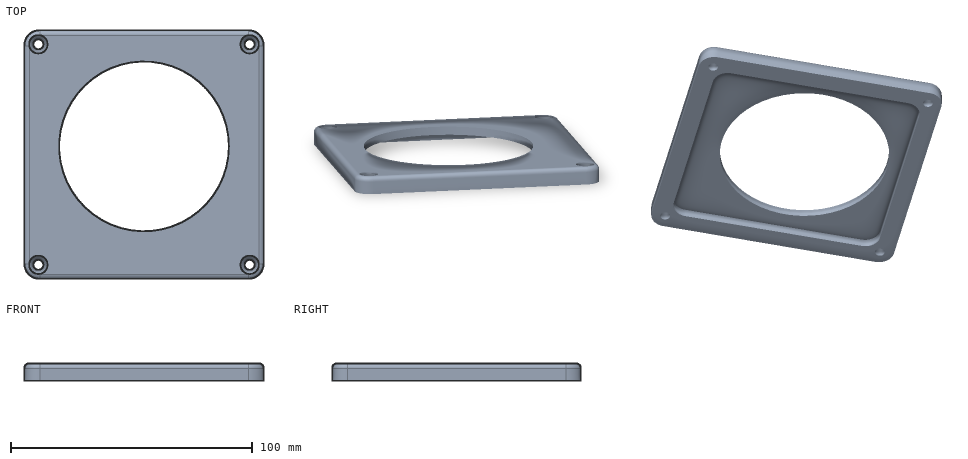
import cadquery as cq
import math

LENGTH_X = 99.06
LENGTH_Y = 102.87
HEIGHT = 7.24
CORNER_RADIUS = 6.35
TOP_EDGE_RADIUS = 2.03

PANEL_THICKNESS = 3.43
RIM_WIDTH = 7.62
RECESS_CORNER_RADIUS = CORNER_RADIUS

WINDOW_DIAMETER = 70.1
WINDOW_OFFSET_Y = 3.38

SCREW_DIAMETER = 4.06
COUNTERSINK_DIAMETER = 7.62
COUNTERSINK_ANGLE = 82
COUNTERSINK_LAND = 0.76
SCREW_INSET = 5.84


def rounded_plate():
    plate = cq.Workplane("XY").rect(LENGTH_X, LENGTH_Y).extrude(HEIGHT)
    plate = plate.edges("|Z").fillet(CORNER_RADIUS)
    return plate.faces(">Z").edges().fillet(TOP_EDGE_RADIUS)


def cut_underside_recess(plate):
    recess = (
        cq.Workplane("XY")
        .rect(LENGTH_X - 2 * RIM_WIDTH, LENGTH_Y - 2 * RIM_WIDTH)
        .extrude(HEIGHT - PANEL_THICKNESS)
        .edges("|Z").fillet(RECESS_CORNER_RADIUS)
    )
    return plate.cut(recess)


def cut_window(plate):
    window = (
        cq.Workplane("XY")
        .center(0, WINDOW_OFFSET_Y)
        .circle(WINDOW_DIAMETER / 2)
        .extrude(HEIGHT)
    )
    return plate.cut(window)


def countersunk_screw_cutter():
    screw_radius = SCREW_DIAMETER / 2
    head_radius = COUNTERSINK_DIAMETER / 2
    cone_top = HEIGHT - COUNTERSINK_LAND
    cone_height = (head_radius - screw_radius) / math.tan(math.radians(COUNTERSINK_ANGLE / 2))
    half_profile = [
        (0, 0),
        (screw_radius, 0),
        (screw_radius, cone_top - cone_height),
        (head_radius, cone_top),
        (head_radius, HEIGHT),
        (0, HEIGHT),
    ]
    return cq.Workplane("XZ").polyline(half_profile).close().revolve(360, (0, 0), (0, 1))


def cut_screw_holes(plate):
    cutter = countersunk_screw_cutter()
    screw_x = LENGTH_X / 2 - SCREW_INSET
    screw_y = LENGTH_Y / 2 - SCREW_INSET
    for side_x in (-1, 1):
        for side_y in (-1, 1):
            plate = plate.cut(cutter.translate((side_x * screw_x, side_y * screw_y, 0)))
    return plate


plate = rounded_plate()
plate = cut_underside_recess(plate)
plate = cut_window(plate)
result = cut_screw_holes(plate)